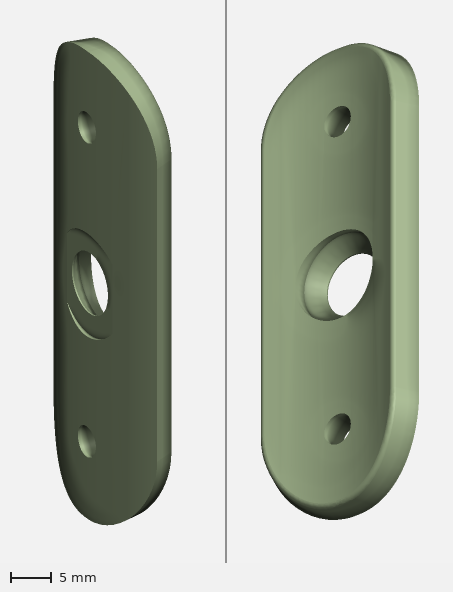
import cadquery as cq
import math

length = 64.0
width = 24.0
thickness = 3.7
outer_radius = 27.5
inner_radius = outer_radius - thickness
corner_radius = 12.0
edge_round = 0.6

bore_diameter = 8.3
seat_diameter = 14.15
seat_depth = 0.5
lip_thickness = 0.2
recess_diameter = 12.15
recess_depth = 0.95
screw_diameter = 4.15
screw_spacing = 43.0

half_length = length / 2
half_angle = math.asin(width / 2 / outer_radius)
half_arc = outer_radius * half_angle
corner_steps = 12
cut_reach = 2 * thickness


def corner_points(side, end, plane_radius):
    """Rounded corner drawn on the unrolled plate, projected from the bend axis onto a flat plane."""
    points = []
    for step in range(corner_steps + 1):
        turn = math.pi / 2 * step / corner_steps
        arc_place = half_arc - corner_radius * (1 - math.cos(turn))
        height = half_length - corner_radius * (1 - math.sin(turn))
        across = plane_radius * math.tan(arc_place / outer_radius)
        points.append((side * across, end * height))
    return points


def outline(plane_radius):
    """Closed plate outline on the plane at the given distance from the bend axis."""
    first, *rest = [
        corner_points(1, 1, plane_radius),
        corner_points(-1, 1, plane_radius)[::-1],
        corner_points(-1, -1, plane_radius),
        corner_points(1, -1, plane_radius)[::-1],
    ]
    plane = cq.Workplane("XZ", origin=(0, outer_radius - plane_radius, 0))
    path = plane.moveTo(*first[0]).spline(first[1:], includeCurrent=True)
    for corner in rest:
        path = path.lineTo(*corner[0]).spline(corner[1:], includeCurrent=True)
    return path.close().val()


def curved_plate():
    """Overlong tube trimmed by side walls that all point at the bend axis."""
    tube = (
        cq.Workplane("XY", origin=(0, outer_radius, 0))
        .circle(outer_radius)
        .circle(inner_radius)
        .extrude(length, both=True)
    )
    near_plane = outer_radius + thickness
    far_plane = inner_radius * math.cos(half_angle) - thickness
    wedge = cq.Solid.makeLoft([outline(near_plane), outline(far_plane)], True)
    return tube.intersect(cq.Workplane(wedge))


def round_back_edges(plate):
    """Round the whole rim of the concave face."""
    concave = plate.faces(cq.selectors.NearestToPointSelector((0, thickness, 0)))
    return concave.edges().fillet(edge_round)


def cylinder_along_y(diameter, start, end, height=0):
    """Cylinder spanning Y = start to Y = end at the given Z."""
    return cq.Workplane("XZ", origin=(0, start, height)).circle(diameter / 2).extrude(start - end)


def cut_centre_opening(plate):
    """Flat front seat and through bore, flaring behind a thin lip into a wider recess at the back."""
    flare_start = seat_depth + lip_thickness
    flare_end = thickness - recess_depth
    flare = cq.Solid.makeCone(
        bore_diameter / 2,
        recess_diameter / 2,
        flare_end - flare_start,
        pnt=cq.Vector(0, flare_start, 0),
        dir=cq.Vector(0, 1, 0),
    )
    plate = plate.cut(cylinder_along_y(seat_diameter, 0, seat_depth))
    plate = plate.cut(cylinder_along_y(bore_diameter, 0, cut_reach))
    plate = plate.cut(cq.Workplane(flare))
    return plate.cut(cylinder_along_y(recess_diameter, flare_end, cut_reach))


def cut_screw_holes(plate):
    """Two through holes on the centre line, equally far above and below the bore."""
    for side in (-1, 1):
        height = side * screw_spacing / 2
        plate = plate.cut(cylinder_along_y(screw_diameter, 0, cut_reach, height))
    return plate


plate_body = round_back_edges(curved_plate())
result = cut_screw_holes(cut_centre_opening(plate_body))